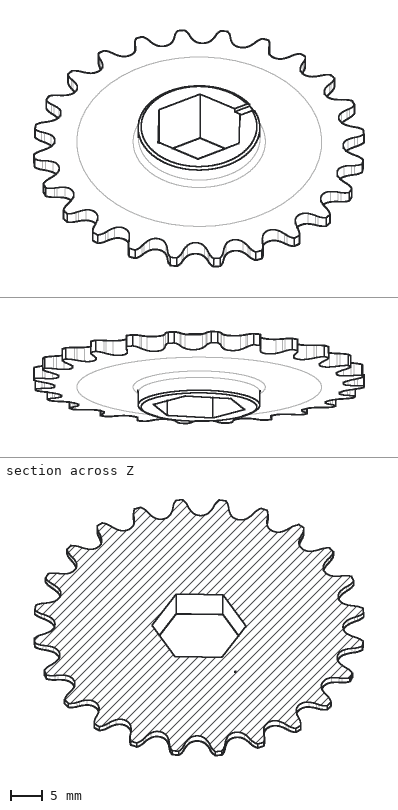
import cadquery as cq
import math

tooth_count = 24
tooth_pitch_angle = 360 / tooth_count
outer_size = 51.6
tip_land_half_width = 0.5
pitch_radius = 24.3
seat_radius = 1.7
seat_end_angle = 37.5
working_radius = 4.4
working_arc_angle = 15.7
flank_length = 0.45

tip_corner_y = outer_size / 2
tip_corner_x = tip_corner_y * math.tan(math.radians(tooth_pitch_angle / 2)) - tip_land_half_width
tip_radius = math.hypot(tip_corner_x, tip_corner_y)

plate_thickness = 3.05
tip_thickness = 1.8
flat_radius = 19.2

hub_length = 9.55
hub_radius = 9.55
hub_fillet = 0.85
hub_chamfer_width = 0.45
hub_chamfer_height = 0.3

hexagon_sides = 6
hexagon_across_flats = 12.7
slot_width = 1.7
slot_depth = 0.65


def make_plate():
    """Disc with a flat middle and a rim that thins conically towards the tooth tips."""
    half_profile = [
        (0, -plate_thickness / 2),
        (flat_radius, -plate_thickness / 2),
        (tip_radius, -tip_thickness / 2),
        (tip_radius, tip_thickness / 2),
        (flat_radius, plate_thickness / 2),
        (0, plate_thickness / 2),
    ]
    return cq.Workplane("XZ").polyline(half_profile).close().revolve(360, (0, 0), (0, 1))


def make_hub_half():
    """Upper half of the hub, with its end chamfer and the fillet onto the plate."""
    face_z = plate_thickness / 2
    end_z = hub_length / 2
    return (
        cq.Workplane("XZ")
        .lineTo(hub_radius + hub_fillet, 0)
        .lineTo(hub_radius + hub_fillet, face_z)
        .radiusArc((hub_radius, face_z + hub_fillet), hub_fillet)
        .lineTo(hub_radius, end_z - hub_chamfer_height)
        .lineTo(hub_radius - hub_chamfer_width, end_z)
        .lineTo(0, end_z)
        .close()
        .revolve(360, (0, 0), (0, 1))
    )


def polar_point(center, radius, angle):
    """Point at a radius and an angle in degrees around a center."""
    turn = math.radians(angle)
    return center[0] + radius * math.cos(turn), center[1] + radius * math.sin(turn)


def make_tooth_space():
    """Cutter for one tooth space: roller seat, hollow working face, straight flank, rounded tip."""
    seat_center = (0, pitch_radius)
    seat_end = polar_point(seat_center, seat_radius, -seat_end_angle)
    working_center = polar_point(seat_end, -working_radius, -seat_end_angle)
    flank_normal_angle = working_arc_angle - seat_end_angle
    working_end = polar_point(working_center, working_radius, flank_normal_angle)
    flank_end = polar_point(working_end, flank_length, flank_normal_angle + 90)
    clear_y = tip_radius + seat_radius
    half_space = (
        cq.Workplane("XY", origin=(0, 0, -plate_thickness / 2))
        .moveTo(0, pitch_radius - seat_radius)
        .radiusArc(seat_end, -seat_radius)
        .radiusArc(working_end, -working_radius)
        .lineTo(*flank_end)
        .tangentArcPoint((tip_corner_x, tip_corner_y), relative=False)
        .lineTo(tip_corner_x, clear_y)
        .lineTo(0, clear_y)
        .close()
        .extrude(plate_thickness)
    )
    return half_space.union(half_space.mirror("YZ"))


sprocket = make_plate()

tooth_space = make_tooth_space()
for index in range(tooth_count):
    sprocket = sprocket.cut(tooth_space.rotate((0, 0, 0), (0, 0, 1), index * tooth_pitch_angle))

hub_half = make_hub_half()
sprocket = sprocket.union(hub_half).union(hub_half.mirror("XY"))

bore = (
    cq.Workplane("XY", origin=(0, 0, -hub_length / 2))
    .polygon(hexagon_sides, hexagon_across_flats, circumscribed=True)
    .extrude(hub_length)
)
sprocket = sprocket.cut(bore)

slot = (
    cq.Workplane("XY", origin=(0, 0, hub_length / 2 - slot_depth))
    .rect(slot_width, 2 * hub_radius)
    .extrude(slot_depth)
    .translate((0, hub_radius, 0))
)
result = sprocket.cut(slot)